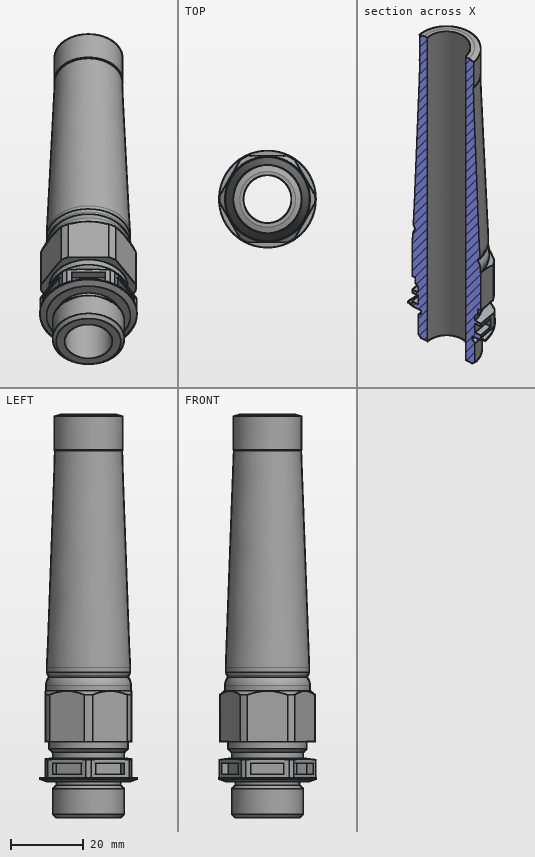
import cadquery as cq
import math

total_height = 112.0
bore_radius = 6.6

thread_radius = 10.0
thread_relief_radius = 9.0
thread_chamfer = 1.0
thread_top = 8.1
relief_start = thread_top + thread_radius - thread_relief_radius

hex_sides = 6
across_flats = 24.0

flange_diameter = 27.0
flange_radius = flange_diameter / 2
seal_face_radius = 11.6
seal_face_z = 10.1
flange_bottom = 10.8
flange_top = 11.1
hex_corner_radius = 13.4
hex_corner_top = 16.1
hex_top = 16.6

pocket_width = 9.2
pocket_height = 3.0
pocket_depth = 2.0
pocket_bottom = 12.1
pocket_center_z = pocket_bottom + pocket_height / 2

collar_radius = 11.0
collar_cone_start = 18.1
collar_cone_end = collar_cone_start + collar_radius - thread_radius

nut_bottom = 21.2
nut_corner_radius = 13.2
nut_corner_top = 34.2
nut_crown_radius = 11.9
nut_crown_bottom = 35.3
shoulder_bottom = 36.7
shoulder_top = 39.1
shoulder_top_radius = 11.0
shoulder_middle_radius = 11.6
shoulder_middle_z = 38.0

sleeve_radius = 11.6
sleeve_edge_radius = 11.3
sleeve_edge_z = 39.6
sleeve_chamfer_top = 40.4
taper_start = 41.8
taper_end = 101.9
taper_end_radius = 9.4
end_band_bottom = 102.3
sleeve_end_radius = 9.5
end_cone_height = 0.6
end_face_radius = 7.7


def revolve_outline(outline):
    """Turn a closed radius-height outline once around the Z axis."""
    return outline.close().revolve(360, (0, 0, 0), (0, 1, 0))


def hexagon_bar(bottom, top):
    """Hexagonal prism with two of its flats facing -Y and +Y."""
    corner_diameter = across_flats / math.cos(math.pi / hex_sides)
    base = cq.Workplane("XY").workplane(offset=bottom)
    return base.polygon(hex_sides, corner_diameter).extrude(top - bottom)


def turned_core():
    """All the round parts of the gland, from the spigot up to the end of the sleeve."""
    outline = (
        cq.Workplane("XZ")
        .moveTo(0, 0)
        .lineTo(thread_radius - thread_chamfer, 0)
        .lineTo(thread_radius, thread_chamfer)
        .lineTo(thread_radius, thread_top)
        .lineTo(thread_relief_radius, relief_start)
        .lineTo(thread_relief_radius, seal_face_z)
        .lineTo(seal_face_radius, seal_face_z)
        .lineTo(flange_radius, flange_bottom)
        .lineTo(flange_radius, flange_top)
        .lineTo(thread_radius, flange_top)
        .lineTo(thread_radius, collar_cone_start)
        .lineTo(collar_radius, collar_cone_end)
        .lineTo(collar_radius, nut_bottom)
        .lineTo(nut_crown_radius, nut_bottom)
        .lineTo(nut_crown_radius, shoulder_bottom)
        .threePointArc((shoulder_middle_radius, shoulder_middle_z), (shoulder_top_radius, shoulder_top))
        .lineTo(sleeve_edge_radius, sleeve_edge_z)
        .lineTo(sleeve_radius, sleeve_chamfer_top)
        .lineTo(sleeve_radius, taper_start)
        .lineTo(taper_end_radius, taper_end)
        .lineTo(sleeve_end_radius, end_band_bottom)
        .lineTo(sleeve_end_radius, total_height - end_cone_height)
        .lineTo(end_face_radius, total_height)
        .lineTo(0, total_height)
    )
    return revolve_outline(outline)


def lower_hexagon():
    """Hexagon with corners turned to a cylinder and a shallow conical top."""
    envelope = revolve_outline(
        cq.Workplane("XZ")
        .moveTo(0, flange_bottom)
        .lineTo(hex_corner_radius, flange_bottom)
        .lineTo(hex_corner_radius, hex_corner_top)
        .lineTo(thread_radius, hex_top)
        .lineTo(0, hex_top)
    )
    return hexagon_bar(flange_bottom, hex_top).intersect(envelope)


def face_pockets():
    """Rectangular cutters, one sunk into each face of the lower hexagon."""
    cutter = cq.Workplane("XY").box(pocket_width, 2 * pocket_depth, pocket_height)
    cutter = cutter.translate((0, -across_flats / 2, pocket_center_z))
    pockets = cutter
    for face in range(1, hex_sides):
        pockets = pockets.union(cutter.rotate((0, 0, 0), (0, 0, 1), face * 360 / hex_sides))
    return pockets


def cap_nut():
    """Hexagon with corners turned to a cylinder, chamfered at the top."""
    envelope = revolve_outline(
        cq.Workplane("XZ")
        .moveTo(0, nut_bottom)
        .lineTo(nut_corner_radius, nut_bottom)
        .lineTo(nut_corner_radius, nut_corner_top)
        .lineTo(nut_crown_radius, nut_crown_bottom)
        .lineTo(0, nut_crown_bottom)
    )
    return hexagon_bar(nut_bottom, nut_crown_bottom).intersect(envelope)


bore = cq.Workplane("XY").circle(bore_radius).extrude(total_height)

result = turned_core().union(lower_hexagon()).union(cap_nut()).cut(face_pockets()).cut(bore)